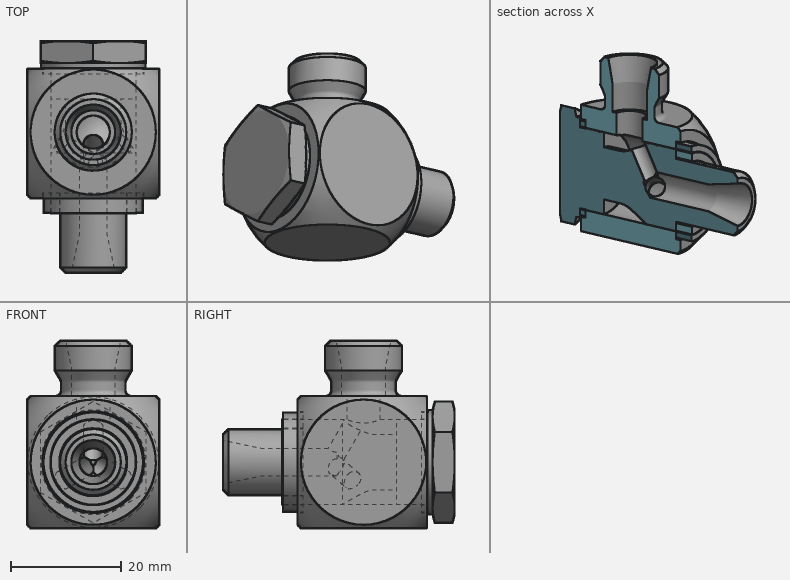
import cadquery as cq
import math


BLOCK_WIDTH = 24.0
BLOCK_FRONT_Y = -BLOCK_WIDTH / 2
BLOCK_BACK_Y = 11.5
BLOCK_SPHERE_R = 16.5
BLOCK_BORE_D = 15.4
RING_RECESS_D = 18.4
RING_RECESS_DEPTH = 1.0

TAPER_HALF_ANGLE = math.radians(12)
OVERALL_HEIGHT = 34
PORT_TOP_Z = OVERALL_HEIGHT - BLOCK_WIDTH / 2
PORT_D = 14.0
PORT_CHAMFER = 1.0
PORT_COLLAR_BOTTOM_Z = 16.65
PORT_FLANK_ANGLE = math.radians(30)
NECK_D = 11.7
NECK_FILLET_R = 1.0
PORT_MOUTH_D = 10.0
PORT_SOCKET_D = 7.95
PORT_SOCKET_DEPTH = 10.0
PORT_HOLE_D = 6.0

HEAD_SIDES = 6
HEAD_ACROSS_FLATS = 19.05
HEAD_COLLAR_D = 19.0
HEAD_BACK_Y = 16.5
HEAD_THICKNESS = 4.0
HEAD_CHAMFER_ANGLE = math.radians(15)
HEAD_GAP = 0.1
STUD_D = 12.0
OVERALL_LENGTH = 42
STUD_END_Y = HEAD_BACK_Y - OVERALL_LENGTH
STUD_CHAMFER = 1.0
SHANK_D = BLOCK_BORE_D
WAIST_D = 10.0
WAIST_FILLET_FRONT_Y = -0.4
WAIST_BACK_Y = 6.0
WAIST_FILLET_R = 5.6
WAIST_CONE_ANGLE = math.radians(30)
STUD_MOUTH_D = 8
STUD_BORE_D = 5.0
STUD_BORE_END_Y = -4.85
DRILL_TIP_HALF_ANGLE = math.radians(59)
CROSS_HOLE_D = 3.5
CROSS_HOLE_COUNT = 3
CROSS_HOLE_TILT = 60
CROSS_HOLE_START_Y = -5.85
CROSS_HOLE_LENGTH = 10.9

OUTER_RING_OD = 18.0
OUTER_RING_ID = 15.6
INNER_RING_OD = 15.4
INNER_RING_ID = 12.3
OUTER_RING_FRONT_Y = -14.6
INNER_RING_FRONT_Y = -14.75

FRONT_RING_SEAT_Y = BLOCK_FRONT_Y + RING_RECESS_DEPTH
BACK_RING_SEAT_Y = BLOCK_BACK_Y - RING_RECESS_DEPTH
HEAD_FRONT_Y = HEAD_BACK_Y - HEAD_THICKNESS
COLLAR_FRONT_Y = BLOCK_BACK_Y + HEAD_GAP


def disc_y(diameter, y_start, y_end):
    """Cylinder on the Y axis between two Y positions."""
    plane = cq.Plane(origin=(0, y_start, 0), xDir=(1, 0, 0), normal=(0, 1, 0))
    return cq.Workplane(plane).circle(diameter / 2).extrude(y_end - y_start)


def revolve_y(points):
    """Solid turned about the Y axis from (radius, y) corner points."""
    return cq.Workplane("XY").polyline(points).close().revolve(360, (0, 0, 0), (0, 1, 0))


def ring_y(outer_d, inner_d, y_start, y_end):
    """Flat ring on the Y axis."""
    return disc_y(outer_d, y_start, y_end).cut(disc_y(inner_d, y_start, y_end))


def taper_length(large_d, small_d):
    """Length of a 24 degree taper between two diameters."""
    return (large_d - small_d) / 2 / math.tan(TAPER_HALF_ANGLE)


def port_body():
    """Turned pipe port: chamfered collar, conical flank, and a neck with a fillet at each end."""
    neck_r = NECK_D / 2
    collar_r = PORT_D / 2
    block_top = BLOCK_WIDTH / 2
    flank_r = neck_r + NECK_FILLET_R * (1 - math.cos(PORT_FLANK_ANGLE))
    flank_z = PORT_COLLAR_BOTTOM_Z - (collar_r - flank_r) / math.tan(PORT_FLANK_ANGLE)
    neck_top_z = flank_z - NECK_FILLET_R * math.sin(PORT_FLANK_ANGLE)
    quarter_mid = NECK_FILLET_R * (1 - math.sqrt(0.5))
    half_flank = PORT_FLANK_ANGLE / 2
    upper_mid = (
        neck_r + NECK_FILLET_R * (1 - math.cos(half_flank)),
        neck_top_z + NECK_FILLET_R * math.sin(half_flank),
    )
    lower_mid = (neck_r + quarter_mid, block_top + quarter_mid)
    return (
        cq.Workplane("XZ")
        .moveTo(0, 0)
        .lineTo(0, PORT_TOP_Z)
        .lineTo(collar_r - PORT_CHAMFER, PORT_TOP_Z)
        .lineTo(collar_r, PORT_TOP_Z - PORT_CHAMFER)
        .lineTo(collar_r, PORT_COLLAR_BOTTOM_Z)
        .lineTo(flank_r, flank_z)
        .threePointArc(upper_mid, (neck_r, neck_top_z))
        .lineTo(neck_r, block_top + NECK_FILLET_R)
        .threePointArc(lower_mid, (neck_r + NECK_FILLET_R, block_top))
        .lineTo(neck_r + NECK_FILLET_R, 0)
        .close()
        .revolve(360, (0, 0, 0), (0, 1, 0))
    )


def port_bore():
    """Pipe socket with a tapered mouth and a flat seat, and a smaller hole down to the bolt."""
    taper_z = PORT_TOP_Z - taper_length(PORT_MOUTH_D, PORT_SOCKET_D)
    seat_z = PORT_TOP_Z - PORT_SOCKET_DEPTH
    points = [
        (0, 0),
        (PORT_HOLE_D / 2, 0),
        (PORT_HOLE_D / 2, seat_z),
        (PORT_SOCKET_D / 2, seat_z),
        (PORT_SOCKET_D / 2, taper_z),
        (PORT_MOUTH_D / 2, PORT_TOP_Z),
        (0, PORT_TOP_Z),
    ]
    return cq.Workplane("XZ").polyline(points).close().revolve(360, (0, 0, 0), (0, 1, 0))


def make_housing():
    block = cq.Workplane("XY").box(BLOCK_WIDTH, BLOCK_BACK_Y - BLOCK_FRONT_Y, BLOCK_WIDTH)
    block = block.translate((0, (BLOCK_BACK_Y + BLOCK_FRONT_Y) / 2, 0))
    block = block.intersect(cq.Workplane("XY").sphere(BLOCK_SPHERE_R))
    return (
        block.union(port_body())
        .cut(port_bore())
        .cut(disc_y(BLOCK_BORE_D, BLOCK_FRONT_Y, BLOCK_BACK_Y))
        .cut(disc_y(RING_RECESS_D, BLOCK_FRONT_Y, FRONT_RING_SEAT_Y))
        .cut(disc_y(RING_RECESS_D, BACK_RING_SEAT_Y, BLOCK_BACK_Y))
    )


def bolt_head():
    """Hexagon with two corners on the Z axis, chamfered on both sides, and a round collar."""
    corner_d = HEAD_ACROSS_FLATS / math.cos(math.pi / HEAD_SIDES)
    flat_r = HEAD_ACROSS_FLATS / 2
    corner_r = corner_d / 2
    drop = (corner_r - flat_r) * math.tan(HEAD_CHAMFER_ANGLE)
    plane = cq.Plane(origin=(0, HEAD_FRONT_Y, 0), xDir=(0, 0, 1), normal=(0, 1, 0))
    hexagon = cq.Workplane(plane).polygon(HEAD_SIDES, corner_d).extrude(HEAD_THICKNESS)
    chamfer_envelope = revolve_y(
        [
            (0, HEAD_FRONT_Y),
            (flat_r, HEAD_FRONT_Y),
            (corner_r, HEAD_FRONT_Y + drop),
            (corner_r, HEAD_BACK_Y - drop),
            (flat_r, HEAD_BACK_Y),
            (0, HEAD_BACK_Y),
        ]
    )
    return hexagon.intersect(chamfer_envelope).union(
        disc_y(HEAD_COLLAR_D, COLLAR_FRONT_Y, HEAD_FRONT_Y)
    )


def bolt_shaft():
    """Turned shaft: chamfered stud, shank, and a waist that flares into the shank on its front side."""
    stud_r = STUD_D / 2
    shank_r = SHANK_D / 2
    waist_r = WAIST_D / 2
    fillet_back_y = WAIST_FILLET_FRONT_Y + WAIST_FILLET_R * math.sin(WAIST_CONE_ANGLE)
    flare_r = waist_r + WAIST_FILLET_R * (1 - math.cos(WAIST_CONE_ANGLE))
    cone_front_y = WAIST_FILLET_FRONT_Y - (shank_r - flare_r) / math.tan(WAIST_CONE_ANGLE)
    half_cone = WAIST_CONE_ANGLE / 2
    fillet_mid = (
        waist_r + WAIST_FILLET_R * (1 - math.cos(half_cone)),
        fillet_back_y - WAIST_FILLET_R * math.sin(half_cone),
    )
    return (
        cq.Workplane("XY")
        .moveTo(0, STUD_END_Y)
        .lineTo(stud_r - STUD_CHAMFER, STUD_END_Y)
        .lineTo(stud_r, STUD_END_Y + STUD_CHAMFER)
        .lineTo(stud_r, FRONT_RING_SEAT_Y)
        .lineTo(shank_r, FRONT_RING_SEAT_Y)
        .lineTo(shank_r, cone_front_y)
        .lineTo(flare_r, WAIST_FILLET_FRONT_Y)
        .threePointArc(fillet_mid, (waist_r, fillet_back_y))
        .lineTo(waist_r, WAIST_BACK_Y)
        .lineTo(shank_r, WAIST_BACK_Y)
        .lineTo(shank_r, HEAD_FRONT_Y)
        .lineTo(0, HEAD_FRONT_Y)
        .close()
        .revolve(360, (0, 0, 0), (0, 1, 0))
    )


def stud_bore():
    """Blind bore with a tapered mouth and a drill tip."""
    bore_r = STUD_BORE_D / 2
    tip_y = STUD_BORE_END_Y + bore_r / math.tan(DRILL_TIP_HALF_ANGLE)
    return revolve_y(
        [
            (0, STUD_END_Y),
            (STUD_MOUTH_D / 2, STUD_END_Y),
            (bore_r, STUD_END_Y + taper_length(STUD_MOUTH_D, STUD_BORE_D)),
            (bore_r, STUD_BORE_END_Y),
            (0, tip_y),
        ]
    )


def cross_hole(turn):
    """Hole from the bore axis out through the flare of the waist, turned about the Y axis."""
    tilt = math.radians(CROSS_HOLE_TILT)
    start = cq.Vector(0, CROSS_HOLE_START_Y, 0)
    direction = cq.Vector(0, math.cos(tilt), math.sin(tilt))
    hole = cq.Solid.makeCylinder(CROSS_HOLE_D / 2, CROSS_HOLE_LENGTH, start, direction)
    return hole.rotate(cq.Vector(0, 0, 0), cq.Vector(0, 1, 0), turn)


def make_bolt():
    bolt = bolt_shaft().union(bolt_head()).cut(stud_bore())
    for index in range(CROSS_HOLE_COUNT):
        bolt = bolt.cut(cq.Workplane(cross_hole(index * 360 / CROSS_HOLE_COUNT)))
    return bolt


housing = make_housing()
bolt = make_bolt()
front_outer_ring = ring_y(OUTER_RING_OD, OUTER_RING_ID, OUTER_RING_FRONT_Y, FRONT_RING_SEAT_Y)
front_inner_ring = ring_y(INNER_RING_OD, INNER_RING_ID, INNER_RING_FRONT_Y, FRONT_RING_SEAT_Y)
back_ring = ring_y(OUTER_RING_OD, OUTER_RING_ID, BACK_RING_SEAT_Y, COLLAR_FRONT_Y)

result = cq.Compound.makeCompound(
    [housing.val(), bolt.val(), front_outer_ring.val(), front_inner_ring.val(), back_ring.val()]
)